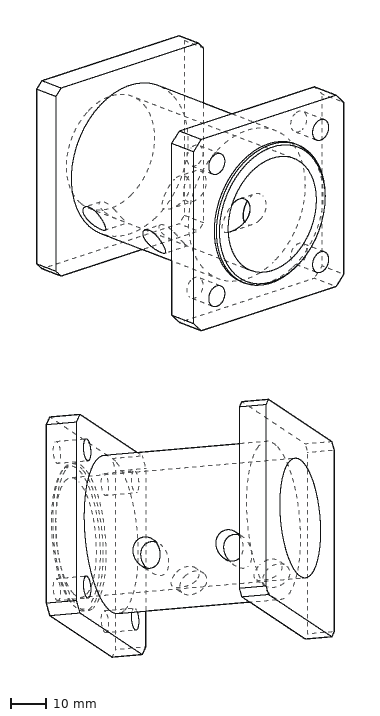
import cadquery as cq

length = 67.5

front_flange_side = 57.0
front_flange_thickness = 8.0
front_flange_chamfer = 2.0
rear_flange_side = 58.0
rear_flange_thickness = 9.1
rear_flange_chamfer = 3.0

body_diameter = 45.0
bore_diameter = 34.0
spigot_diameter = 42.0
spigot_length = 1.5
spigot_chamfer = 0.6

bolt_hole_diameter = 6.2
bolt_hole_spacing = 40.0

cross_hole_diameter = 8.0
cross_hole_spacing = 25.0
first_cross_hole_x = 14.25
cross_hole_z = -11.2

rear_flange_end = length - spigot_length
rear_flange_start = rear_flange_end - rear_flange_thickness


def plane_at(x):
    """Workplane across the part axis at the given X."""
    return cq.Workplane("YZ", origin=(x, 0, 0))


def flange(x, side, thickness, chamfer):
    """Square plate growing along +X with its four corners chamfered."""
    return plane_at(x).rect(side, side).extrude(thickness).edges("|X").chamfer(chamfer)


def spigot():
    """Short locating ring with a chamfered outer end."""
    ring = plane_at(rear_flange_end).circle(spigot_diameter / 2).extrude(spigot_length)
    return ring.faces(">X").edges().chamfer(spigot_chamfer)


def bolt_holes():
    """Four holes through the rear flange on a square pattern."""
    pattern = plane_at(rear_flange_start).rect(bolt_hole_spacing, bolt_hole_spacing, forConstruction=True)
    return pattern.vertices().circle(bolt_hole_diameter / 2).extrude(rear_flange_thickness)


def cross_holes():
    """Two parallel holes below the axis that cross the whole body."""
    positions = [(first_cross_hole_x + i * cross_hole_spacing, cross_hole_z) for i in range(2)]
    cutters = cq.Workplane("XZ").pushPoints(positions).circle(cross_hole_diameter / 2)
    return cutters.extrude(rear_flange_side / 2, both=True)


body = plane_at(0).circle(body_diameter / 2).extrude(rear_flange_end)
bore = plane_at(0).circle(bore_diameter / 2).extrude(length)

result = (
    body
    .union(flange(0, front_flange_side, front_flange_thickness, front_flange_chamfer))
    .union(flange(rear_flange_start, rear_flange_side, rear_flange_thickness, rear_flange_chamfer))
    .union(spigot())
    .cut(bore)
    .cut(bolt_holes())
    .cut(cross_holes())
)